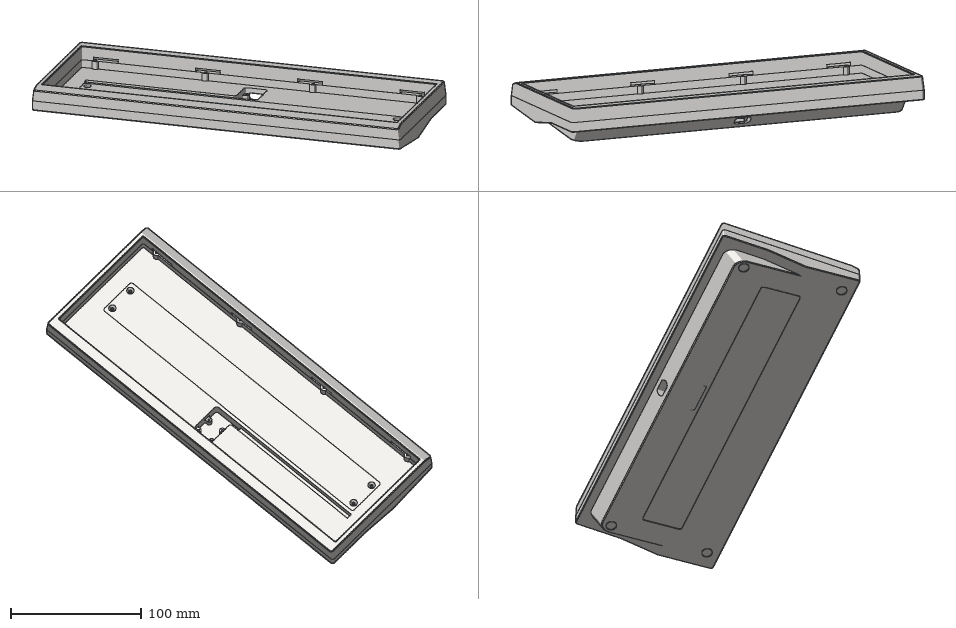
import cadquery as cq
import math


length = 297.7
width = 114.3
height = 30.0
seam_z = 19.0
base_z = 11.3
floor_z = 12.8
corner_radius = 2.0
outer_chamfer = 0.5
half_length = length / 2
half_width = width / 2

cavity_length = 286.5
cavity_width = 96.0
cavity_corner_radius = 1.5
rim_chamfer = 0.5
wall_y = cavity_width / 2

side_draft = 1.5
nose_run = 6.8
nose_drop = 2.5

foot_tip_y = 40.8
foot_root_y = 50.3
foot_half_length = 139.5
foot_corner_radius = 8.0
keel_y = -11.5
keel_rear_y = 19.0

pad_diameter = 8.0
pad_depth = 1.0
pad_spots = [(135.2, -47.0), (133.0, 33.3)]

weight_length = 259.0
weight_front_y = -19.4
weight_rear_y = 13.0
weight_corner_radius = 2.0
flange_thickness = 3.0
flange_end_lip = 9.2
weight_recess = 1.0
weight_screw_x = 125.0
weight_screw_pitch_y = 20.5
weight_screw_hole = 2.53
weight_screw_head = 5.7
weight_thread_depth = 2.5
weight_mid_y = (weight_front_y + weight_rear_y) / 2

pocket_half_length = 9.2
pocket_front_y = 15.8
pocket_rear_y = 41.7
pocket_floor_z = 3.5
pocket_corner_radius = 2.5
channel_end_x = -130.5
channel_step_x = -15.8
channel_width = 4.5
channel_depth = 4.8
channel_mouth_radius = 2.5
board_post_diameter = 4.2
board_post_hole = 1.65
board_post_x = 6.8
board_rib_radius = 0.75
board_post_ys = (26.8, 39.0)
board_post_top_z = 8.0
port_length = 13.7
port_height = 5.7
port_z = 6.0

boss_diameter = 5.7
boss_hole = 2.0
boss_inset = 1.2
boss_rear_xs = (-132.2, -43.5, 43.5, 130.0)
boss_front_xs = (-130.0, -43.5, 43.5, 130.0)
slot_length = 20.0
slot_height = 3.0
slot_depth = 4.8
slot_corner_radius = 2.7
slot_xs = (-123.8, -41.5, 41.5, 123.8)


def underside_z(y):
    """Height of the sloped underside at a given Y."""
    return base_z * (foot_tip_y - y) / (foot_tip_y + half_width)


underside_tilt = math.degrees(math.atan2(base_z, foot_tip_y + half_width))


def block(x0, x1, y0, y1, z0, z1):
    """Axis-aligned block between opposite corners."""
    return cq.Workplane("XY").box(x1 - x0, y1 - y0, z1 - z0, centered=False).translate((x0, y0, z0))


def centred_block(size_x, size_y, z0, z1):
    """Block centred in plan."""
    return block(-size_x / 2, size_x / 2, -size_y / 2, size_y / 2, z0, z1)


def cylinders(points, diameter, z0, z1):
    """Vertical cylinders at the given plan positions."""
    return cq.Workplane("XY", origin=(0, 0, z0)).pushPoints(points).circle(diameter / 2).extrude(z1 - z0)


def side_prism(points, half):
    """Prism along X of a YZ outline, centred on X = 0."""
    return cq.Workplane("YZ").polyline(points).close().extrude(half, both=True)


def end_prism(half_low, half_high, z0, z1):
    """Prism along Y of a symmetric trapezoid standing in the XZ plane."""
    outline = [(-half_low, z0), (half_low, z0), (half_high, z1), (-half_high, z1)]
    return cq.Workplane("XZ").polyline(outline).close().extrude(half_width, both=True)


def cavity(z0, z1):
    """Slice of the key cavity between two heights."""
    return centred_block(cavity_length, cavity_width, z0, z1).edges("|Z").fillet(cavity_corner_radius)


def wall_spots(front_xs, rear_xs, y):
    """Plan positions along the front wall and the rear wall."""
    return [(x, -y) for x in front_xs] + [(x, y) for x in rear_xs]



def make_rim_break():
    """Inverted frustum that bevels the inner top edge of the rim."""
    flare = cq.Workplane("XY", origin=(0, 0, height - rim_chamfer)).rect(cavity_length, cavity_width)
    return flare.extrude(rim_chamfer, taper=-45)


def make_upper_case():
    case = end_prism(half_length, half_length - side_draft, seam_z, height)
    case = case.edges("not(|X or |Y)").fillet(corner_radius)
    nose = [
        (-half_width + nose_run, height),
        (-half_width, height - nose_drop),
        (-half_width, height),
    ]
    case = case.cut(side_prism(nose, half_length))
    nose_middle = (0, -half_width + nose_run / 2, height - nose_drop / 2)
    nose_face = case.faces(cq.selectors.NearestToPointSelector(nose_middle))
    rim_edges = case.faces(">Z").edges().add(nose_face.edges("not >Y"))
    case = rim_edges.chamfer(outer_chamfer)
    case = case.cut(cavity(seam_z, height))
    case = case.cut(make_rim_break())
    for x, y in wall_spots(slot_xs, slot_xs, wall_y):
        slot = centred_block(slot_length, 2 * slot_depth, seam_z, seam_z + slot_height)
        slot = slot.edges("|Z").fillet(slot_corner_radius)
        case = case.cut(slot.translate((x, y, 0)))
    return case



def make_lower_shell():
    """Full-length wedge body together with the shorter foot below it."""
    body_outline = [
        (-half_width, seam_z),
        (-half_width, base_z),
        (keel_y, underside_z(keel_y)),
        (keel_rear_y, base_z),
        (half_width, base_z),
        (half_width, seam_z),
    ]
    body = centred_block(length, width, 0, seam_z).edges("|Z").fillet(corner_radius)
    body = body.intersect(side_prism(body_outline, half_length))
    underside_edges = body.edges("not |Z").edges("not >Z").edges("(not |X) or <Y or >Y")
    body = underside_edges.chamfer(outer_chamfer)
    sharp_tip_y = foot_tip_y + outer_chamfer * math.cos(math.radians(underside_tilt))
    sharp_tip_z = underside_z(sharp_tip_y)
    foot_outline = [
        (keel_y, base_z),
        (keel_y, underside_z(keel_y)),
        (sharp_tip_y, sharp_tip_z),
        (foot_root_y, base_z),
    ]
    foot = side_prism(foot_outline, foot_half_length)
    foot = foot.faces(">Y").edges("not |X").fillet(foot_corner_radius)
    sole = foot.faces(cq.selectors.NearestToPointSelector((0, 15, underside_z(15))))
    foot = sole.edges("not <Y").chamfer(outer_chamfer)
    return body.union(foot)


def make_board_post(y):
    """Post on the +X side, ribbed to the side wall and, beside the rear wall, to that as well."""
    radius = board_post_diameter / 2
    post = cylinders([(board_post_x, y)], board_post_diameter, pocket_floor_z, board_post_top_z)
    rib = block(board_post_x, pocket_half_length, y - radius, y + radius, pocket_floor_z, board_post_top_z)
    post = post.union(rib)
    if pocket_rear_y - y < board_post_diameter:
        rear_rib = block(board_post_x - radius, pocket_half_length, y, pocket_rear_y,
                         pocket_floor_z, board_post_top_z)
        post = post.union(rear_rib)
    return post.cut(cylinders([(board_post_x, y)], board_post_hole, pocket_floor_z, board_post_top_z))


def rib_roots():
    """Selector for the corner lines where the post ribs meet the pocket walls."""
    reach = 0.15
    x, y = pocket_half_length, pocket_rear_y
    top = board_post_top_z - reach
    box = cq.selectors.BoxSelector
    left = box((-x - reach, pocket_front_y, pocket_floor_z), (-x + reach, y, top))
    right = box((x - reach, pocket_front_y, pocket_floor_z), (x + reach, y, top))
    rear = box((-x, y - reach, pocket_floor_z), (x, y + reach, top))
    return left + right + rear


def make_pocket():
    """Space for the connector board and its cable, with the board posts left standing."""
    x, y0, y1 = pocket_half_length, pocket_front_y, pocket_rear_y
    channel_rear_y = y0 + channel_width
    pocket = block(-x, x, y0, y1, pocket_floor_z, floor_z)
    pocket = pocket.edges("|Z and (>X or >Y)").fillet(pocket_corner_radius)
    pocket = pocket.union(block(channel_step_x, 0, y0, channel_rear_y, pocket_floor_z, floor_z))
    mouth = cq.selectors.NearestToPointSelector((-x, channel_rear_y, (pocket_floor_z + floor_z) / 2))
    pocket = pocket.edges("|Z").edges(mouth).fillet(channel_mouth_radius)
    pocket = pocket.union(block(channel_end_x, 0, y0, channel_rear_y, floor_z - channel_depth, floor_z))
    for y in board_post_ys:
        post = make_board_post(y)
        pocket = pocket.cut(post).cut(post.mirror("YZ"))
    return pocket.edges("|Z").edges(rib_roots()).fillet(board_rib_radius)


def make_port():
    """Rounded opening from the pocket through the slanted rear face of the foot."""
    port = cq.Workplane("XZ", origin=(0, foot_root_y, port_z)).slot2D(port_length, port_height)
    return port.extrude(foot_root_y - pocket_rear_y + pocket_corner_radius)


def make_pads():
    """Round pad recesses, sunk square to the sloped underside."""
    pads = cq.Workplane("XY")
    for x, y in pad_spots:
        for side in (-1, 1):
            pad = cq.Workplane("XY").circle(pad_diameter / 2).extrude(pad_depth)
            pad = pad.rotate((0, 0, 0), (1, 0, 0), -underside_tilt)
            pads = pads.add(pad.translate((side * x, y, underside_z(y))))
    return pads


def weight_screw_spots():
    """Plan positions of the four weight screws."""
    dy = weight_screw_pitch_y / 2
    return [(i * weight_screw_x, weight_mid_y + j * dy) for i in (-1, 1) for j in (-1, 1)]


def make_weight_opening():
    """Stepped opening in the floor: the flange seat above, the window below."""
    x = weight_length / 2
    seat_z = floor_z - flange_thickness
    seat = block(-x, x, weight_front_y, weight_rear_y, seat_z, floor_z)
    seat = seat.edges("|Z").fillet(weight_corner_radius)
    window_x = x - flange_end_lip
    window = block(-window_x, window_x, weight_front_y, weight_rear_y, 0, seat_z)
    window = window.edges("|Z").fillet(weight_corner_radius)
    return seat.union(window)


def make_lower_case():
    case = make_lower_shell()
    case = case.cut(cavity(floor_z, seam_z))
    spots = wall_spots(boss_front_xs, boss_rear_xs, wall_y + boss_inset)
    case = case.union(cylinders(spots, boss_diameter, floor_z, seam_z))
    case = case.cut(cylinders(spots, boss_hole, floor_z, seam_z))
    case = case.cut(make_pocket()).cut(make_port())
    for pad in make_pads().vals():
        case = case.cut(cq.Workplane(pad))
    case = case.cut(make_weight_opening())
    seat_z = floor_z - flange_thickness
    threads = cylinders(weight_screw_spots(), weight_screw_hole, seat_z - weight_thread_depth, seat_z)
    return case.cut(threads)



def make_countersink():
    """90 degree cone for a screw head, opening at the cavity floor."""
    depth = (weight_screw_head - weight_screw_hole) / 2
    cone = cq.Solid.makeCone(weight_screw_hole / 2, weight_screw_head / 2, depth)
    return cq.Workplane(cone).translate((0, 0, floor_z - depth))


def make_weight():
    weight = make_weight_opening()
    envelope = [
        (-half_width, underside_z(-half_width) + weight_recess),
        (foot_tip_y, weight_recess),
        (foot_tip_y, floor_z),
        (-half_width, floor_z),
    ]
    weight = weight.intersect(side_prism(envelope, half_length))
    spots = weight_screw_spots()
    weight = weight.cut(cylinders(spots, weight_screw_hole, floor_z - flange_thickness, floor_z))
    for x, y in spots:
        weight = weight.cut(make_countersink().translate((x, y, 0)))
    return weight


upper_case = make_upper_case()
lower_case = make_lower_case()
weight = make_weight()

result = cq.Compound.makeCompound([upper_case.val(), lower_case.val(), weight.val()])